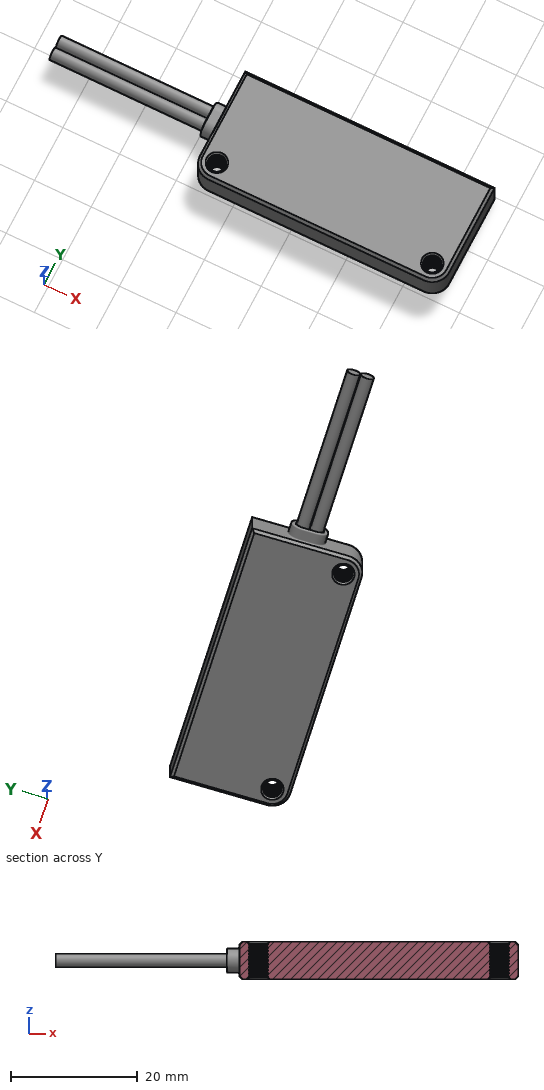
import cadquery as cq

total_length = 73.0

body_length = 44.0
body_width = 19.0
body_height = 6.0
corner_radius = 3.0
edge_chamfer = 0.5

hole_diameter = 2.55
hole_chamfer = 0.5

thread_diameter = 3.0
thread_pitch = 0.5
groove_width = 0.45
root_flat = 0.1
groove_count = 11

relief_length = 2.0
relief_width = 6.1
relief_height = 3.9
relief_tip_fillet = 0.2
relief_root_fillet = 0.2

slot_width = 4.7
slot_height = 2.5

core_diameter = 2.2
core_spacing = 2.25
cable_to_back = 9.0

body_right = total_length / 2
body_left = body_right - body_length
body_back = body_width / 2
body_front = -body_back
cable_end = -total_length / 2
cable_y = body_back - cable_to_back


def make_body():
    """Housing with two rounded front corners and chamfered top and bottom rims."""
    body = cq.Workplane("XY").box(body_length, body_width, body_height)
    body = body.translate((body_right - body_length / 2, 0, 0))
    body = body.edges("|Z and <Y").fillet(corner_radius)
    return body.faces("<Z or >Z").edges().chamfer(edge_chamfer)


def make_mounting_hole():
    """Cutter for one threaded through hole, centred on Z and chamfered at both mouths."""
    hole_radius = hole_diameter / 2
    mouth_radius = hole_radius + hole_chamfer
    chamfer_z = body_height / 2 - hole_chamfer
    bore = cq.Workplane("XY").circle(hole_radius).extrude(body_height / 2, both=True)
    mouth = (
        cq.Workplane("XY", origin=(0, 0, chamfer_z))
        .circle(hole_radius)
        .workplane(offset=hole_chamfer)
        .circle(mouth_radius)
        .loft(ruled=True)
    )
    cutter = bore.union(mouth).union(mouth.mirror("XY"))

    thread_radius = thread_diameter / 2
    half_groove = groove_width / 2
    for index in range(groove_count):
        groove_z = (index - (groove_count - 1) / 2) * thread_pitch
        groove = (
            cq.Workplane("XZ")
            .moveTo(0, groove_z - half_groove)
            .lineTo(hole_radius, groove_z - half_groove)
            .lineTo(thread_radius, groove_z - root_flat / 2)
            .lineTo(thread_radius, groove_z + root_flat / 2)
            .lineTo(hole_radius, groove_z + half_groove)
            .lineTo(0, groove_z + half_groove)
            .close()
            .revolve(360, (0, 0, 0), (0, 1, 0))
        )
        cutter = cutter.union(groove)
    return cutter


def cut_mounting_holes(body):
    """Place the holes on the centres of the rounded front corners."""
    cutter = make_mounting_hole()
    hole_y = body_front + corner_radius
    for hole_x in (body_left + corner_radius, body_right - corner_radius):
        body = body.cut(cutter.translate((hole_x, hole_y, 0)))
    return body


def add_strain_relief(body):
    """Oval collar with a rounded tip, a blended root and a slot the cable passes through."""
    collar = (
        cq.Workplane("YZ", origin=(body_left, cable_y, 0))
        .slot2D(relief_width, relief_height)
        .extrude(-relief_length)
        .faces("<X")
        .edges()
        .fillet(relief_tip_fillet)
    )
    joined = body.union(collar)
    reach = relief_root_fillet / 2
    half_width = relief_width / 2 + reach
    half_height = relief_height / 2 + reach
    root_outline = cq.selectors.BoxSelector(
        (body_left - reach, cable_y - half_width, -half_height),
        (body_left + reach, cable_y + half_width, half_height),
        boundingbox=True,
    )
    slot = (
        cq.Workplane("YZ", origin=(body_left, cable_y, 0))
        .slot2D(slot_width, slot_height)
        .extrude(-relief_length)
    )
    return joined.edges(root_outline).fillet(relief_root_fillet).cut(slot)


def make_cable():
    """Two parallel cores from the free end to the housing wall."""
    cable = cq.Workplane("YZ")
    for offset in (-core_spacing / 2, core_spacing / 2):
        core = (
            cq.Workplane("YZ", origin=(cable_end, cable_y + offset, 0))
            .circle(core_diameter / 2)
            .extrude(body_left - cable_end)
        )
        cable = cable.add(core)
    return cable.combine()


housing = cut_mounting_holes(make_body())
result = add_strain_relief(housing).union(make_cable())